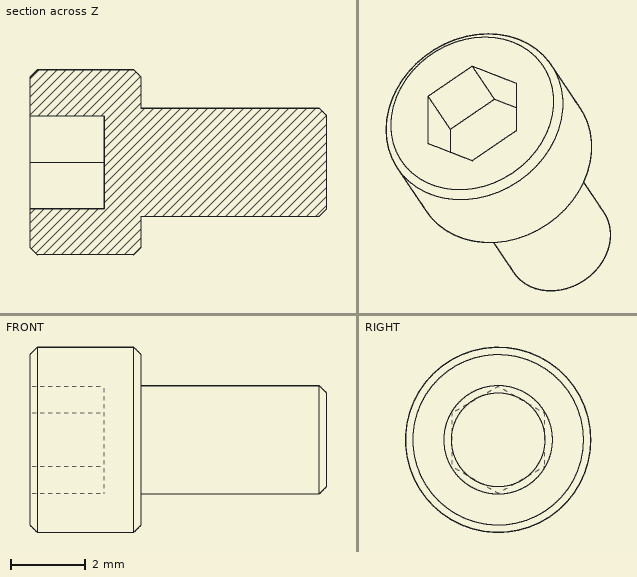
import cadquery as cq
import math

total_length = 8.0
head_length = 3.0
head_diameter = 5.0
shank_diameter = 2.93
edge_chamfer = 0.2
socket_across_flats = 2.5
socket_depth = 2.0


def make_head():
    """Cylindrical head, chamfered on both rims."""
    head = cq.Workplane("YZ").circle(head_diameter / 2).extrude(head_length)
    return head.edges().chamfer(edge_chamfer)


def make_shank():
    """Plain shank from the back of the head, chamfered at its free end."""
    shank_length = total_length - head_length
    shank = (
        cq.Workplane("YZ")
        .workplane(offset=head_length)
        .circle(shank_diameter / 2)
        .extrude(shank_length)
    )
    return shank.faces(">X").edges().chamfer(edge_chamfer)


def make_socket():
    """Hexagonal recess with two corners on the Z axis."""
    across_corners = socket_across_flats / math.cos(math.pi / 6)
    return (
        cq.Workplane("YZ")
        .transformed(rotate=(0, 0, 90))
        .polygon(6, across_corners)
        .extrude(socket_depth)
    )


result = make_head().union(make_shank()).cut(make_socket())